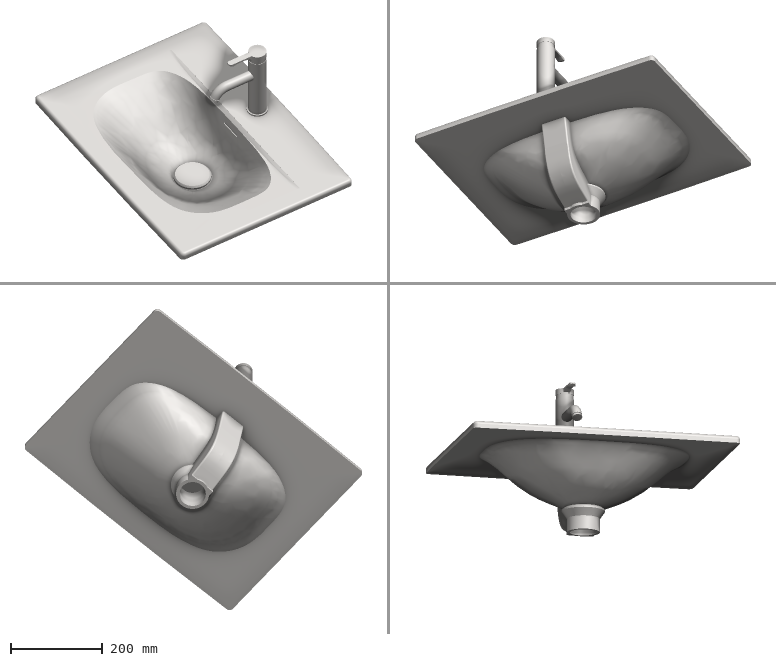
import cadquery as cq
import math


DECK_LENGTH = 600.0
DECK_DEPTH = 449.0
DECK_THICKNESS = 17.0
DECK_BOW = 2.5
DECK_CORNER_RADIUS = 9.5
DECK_EDGE_RADIUS = 8.0

DISH_HALF_LENGTH = 260.0
DISH_REAR_Y = 108.5
DISH_CREASE_Y = 100.0
DISH_LEVEL_Y = -24.0
DISH_FRONT_Y = -184.0
DISH_SAG = 7.0
DISH_EDGE_SAG = 0.3

DRAIN_Y = -3.0
PIPE_RADIUS = 36.0
PIPE_BOTTOM_Z = -183.5
BORE_RADIUS = 29.0
FLOOR_RADIUS = 44.0
FLOOR_Z = -116.5
NECK_RADIUS = 42.0
SHELL_END_RADIUS = 44.0
NECK_Z = -129.5
COLLAR_RADIUS = 47.5
COLLAR_TOP_Z = -134.0
COLLAR_LOW_Z = -137.5
COLLAR_FOOT_RADIUS = 38.5
COLLAR_FOOT_Z = -150.0
PIPE_TOP_Z = -153.5

OVAL_POINTS = 16
CAVITY_SECTIONS = [
    (6.0, 288.0, 103.0, -201.0, 3.6),
    (-2.0, 228.0, 101.5, -169.0, 3.4),
    (-21.5, 198.5, 97.0, -153.0, 3.0),
    (-44.0, 165.5, 92.5, -133.0, 2.7),
    (-75.0, 125.5, 82.0, -107.0, 2.4),
    (-95.0, 96.0, 69.5, -81.0, 2.2),
    (FLOOR_Z, FLOOR_RADIUS, DRAIN_Y + FLOOR_RADIUS, DRAIN_Y - FLOOR_RADIUS, 2.0),
]
SHELL_SECTIONS = [
    (-DECK_THICKNESS, 228.0, 110.0, -167.5, 3.0),
    (-29.5, 203.0, 108.5, -155.0, 2.9),
    (-68.0, 157.0, 101.5, -127.0, 2.6),
    (-91.0, 126.0, 89.0, -107.0, 2.4),
    (-117.5, 75.0, 54.0, -69.0, 2.2),
    (NECK_Z, SHELL_END_RADIUS, DRAIN_Y + SHELL_END_RADIUS, DRAIN_Y - SHELL_END_RADIUS, 2.0),
]

CHANNEL_WIDTH = 60.0
CHANNEL_EDGE_RADIUS = 3.5
CHANNEL_TOP_Y = 133.0
CHANNEL_BEND_START = (121.0, -75.0)
CHANNEL_BEND_MIDDLE = (92.0, -146.5)
CHANNEL_FOOT = (30.0, -177.5)
CHANNEL_BEND_END = (56.0, -168.0)
CHANNEL_START_DIRECTION = (CHANNEL_BEND_START[0] - CHANNEL_TOP_Y, CHANNEL_BEND_START[1] + DECK_THICKNESS)
CHANNEL_END_DIRECTION = (CHANNEL_FOOT[0] - CHANNEL_BEND_END[0], CHANNEL_FOOT[1] - CHANNEL_BEND_END[1])
CHANNEL_END_Y = 6.0
CHANNEL_WALL_POINTS = [(CHANNEL_END_Y, -123.5), (36.0, -120.0), (54.0, -113.0), (81.0, -95.5)]
SLOT_LENGTH = 53.0
SLOT_HEIGHT = 5.5
SLOT_Z = -25.0
SLOT_BOTTOM_Y = 104.5
SLOT_CUT_DEPTH = 18.0

PLUG_RADIUS = 41.5
PLUG_TOP_RADIUS = 38.0
PLUG_TOP_Z = -108.5

TAP_Y = 165.5
TAP_BASE_RADIUS = 23.5
TAP_BASE_HEIGHT = 3.5
COLUMN_DIAMETER = 40.0
COLUMN_RADIUS = COLUMN_DIAMETER / 2
COLUMN_TOP_Z = 153.5
TAP_NECK_RADIUS = 19.0
CAP_BOTTOM_Z = 163.0
TAP_TOP_Z = 175.0
SPOUT_RADIUS = 11.5
SPOUT_Z = 111.0
SPOUT_BEND_Y = 86.5
SPOUT_BEND_RADIUS = 36.0
SPOUT_BEND_ANGLE = 60.0
LEVER_WIDTH = 14.0
LEVER_END_Y = 90.0
LEVER_THICKNESS = 4.0
LEVER_ROOT_THICKNESS = 9.0
LEVER_ROOT_END_Y = 129.0
LEVER_LIP_START_Y = 109.0
LEVER_LIP_Y = 99.0
LEVER_LIP_THICKNESS = 7.0
LEVER_TIP_THICKNESS = 3.0
LEVER_TIP_RADIUS = 6.5
AERATOR_NECK_RADIUS = 9.5
AERATOR_NECK_HEIGHT = 2.0
AERATOR_DIAMETER = 22.0
AERATOR_RADIUS = AERATOR_DIAMETER / 2
AERATOR_HEIGHT = 6.5


def signed_power(value, exponent):
    return math.copysign(abs(value) ** exponent, value)


def oval_wire(z, half_length, rear_y, front_y, exponent):
    """Closed superellipse around the drain axis with different rear and front depths."""
    points = []
    for i in range(OVAL_POINTS):
        angle = 2 * math.pi * i / OVAL_POINTS - math.pi / 2
        across = signed_power(math.cos(angle), 2 / exponent)
        along = signed_power(math.sin(angle), 2 / exponent)
        depth = rear_y - DRAIN_Y if along > 0 else DRAIN_Y - front_y
        points.append(cq.Vector(half_length * across, DRAIN_Y + depth * along, z))
    return cq.Wire.assembleEdges([cq.Edge.makeSpline(points, periodic=True)])


def oval_loft(sections):
    return cq.Workplane(cq.Solid.makeLoft([oval_wire(*section) for section in sections]))


def cylinder(radius, bottom_z, top_z, y):
    return cq.Workplane("XY", origin=(0, y, bottom_z)).circle(radius).extrude(top_z - bottom_z)


def make_deck():
    half_length = DECK_LENGTH / 2
    half_depth = DECK_DEPTH / 2
    corner_y = half_depth - DECK_BOW
    deck = (
        cq.Workplane("XY", origin=(0, 0, -DECK_THICKNESS))
        .moveTo(-half_length, -corner_y)
        .threePointArc((0, -half_depth), (half_length, -corner_y))
        .lineTo(half_length, corner_y)
        .threePointArc((0, half_depth), (-half_length, corner_y))
        .close()
        .extrude(DECK_THICKNESS)
    )
    return deck.edges("|Z").fillet(DECK_CORNER_RADIUS).faces(">Z").edges().fillet(DECK_EDGE_RADIUS)


def dish_wire(y, sag):
    """Circular segment across the dish: a level chord with an arc below it."""
    left = cq.Vector(-DISH_HALF_LENGTH, y, 0)
    right = cq.Vector(DISH_HALF_LENGTH, y, 0)
    arc = cq.Edge.makeThreePointArc(left, cq.Vector(0, y, -sag), right)
    return cq.Wire.assembleEdges([arc, cq.Edge.makeLine(right, left)])


def make_dish():
    stations = [
        (DISH_REAR_Y, DISH_EDGE_SAG),
        (DISH_CREASE_Y, DISH_SAG),
        (DISH_LEVEL_Y, DISH_SAG),
        (DISH_FRONT_Y, DISH_EDGE_SAG),
    ]
    return cq.Workplane(cq.Solid.makeLoft([dish_wire(y, sag) for y, sag in stations], True))


def make_drain_collar():
    profile = [
        (0, NECK_Z),
        (NECK_RADIUS, NECK_Z),
        (COLLAR_RADIUS, COLLAR_TOP_Z),
        (COLLAR_RADIUS, COLLAR_LOW_Z),
        (COLLAR_FOOT_RADIUS, COLLAR_FOOT_Z),
        (PIPE_RADIUS, PIPE_TOP_Z),
        (PIPE_RADIUS, PIPE_BOTTOM_Z),
        (0, PIPE_BOTTOM_Z),
    ]
    return cq.Workplane("XZ", origin=(0, DRAIN_Y, 0)).polyline(profile).close().revolve()


def make_overflow_channel():
    channel = (
        cq.Workplane("YZ")
        .moveTo(CHANNEL_TOP_Y, -DECK_THICKNESS)
        .lineTo(*CHANNEL_BEND_START)
        .spline(
            [CHANNEL_BEND_MIDDLE, CHANNEL_BEND_END],
            tangents=[CHANNEL_START_DIRECTION, CHANNEL_END_DIRECTION],
            includeCurrent=True,
        )
        .lineTo(*CHANNEL_FOOT)
        .lineTo(CHANNEL_FOOT[0], PIPE_BOTTOM_Z)
        .lineTo(CHANNEL_END_Y, PIPE_BOTTOM_Z)
        .polyline(CHANNEL_WALL_POINTS, includeCurrent=True)
        .lineTo(DISH_CREASE_Y, -DECK_THICKNESS)
        .close()
        .extrude(CHANNEL_WIDTH / 2, both=True)
    )
    bend_y, bend_z = CHANNEL_BEND_START
    line_zone = cq.selectors.BoxSelector(
        (-CHANNEL_WIDTH, bend_y, bend_z),
        (CHANNEL_WIDTH, CHANNEL_TOP_Y, -DECK_THICKNESS),
    )
    bend_zone = cq.selectors.BoxSelector(
        (-CHANNEL_WIDTH, CHANNEL_BEND_END[0], PIPE_BOTTOM_Z),
        (CHANNEL_WIDTH, bend_y, FLOOR_Z),
    )
    rear_edges = channel.faces("<X or >X").edges(line_zone + bend_zone)
    return rear_edges.fillet(CHANNEL_EDGE_RADIUS)


def make_overflow_slot():
    slot = cq.Workplane("XZ", origin=(0, SLOT_BOTTOM_Y, SLOT_Z))
    return slot.slot2D(SLOT_LENGTH, SLOT_HEIGHT).extrude(SLOT_CUT_DEPTH)


def make_basin():
    basin = make_deck().union(oval_loft(SHELL_SECTIONS)).union(make_drain_collar())
    basin = basin.cut(make_dish()).cut(oval_loft(CAVITY_SECTIONS))
    basin = basin.cut(make_overflow_slot()).union(make_overflow_channel())
    return basin.cut(cylinder(BORE_RADIUS, PIPE_BOTTOM_Z, FLOOR_Z, DRAIN_Y))


def make_plug():
    plug = cylinder(PLUG_RADIUS, FLOOR_Z, PLUG_TOP_Z, DRAIN_Y)
    return plug.faces(">Z").chamfer(PLUG_RADIUS - PLUG_TOP_RADIUS)


def spout_end():
    """Y, Z of the spout mouth."""
    angle = math.radians(SPOUT_BEND_ANGLE)
    y = SPOUT_BEND_Y - SPOUT_BEND_RADIUS * math.sin(angle)
    z = SPOUT_Z - SPOUT_BEND_RADIUS * (1 - math.cos(angle))
    return y, z


def make_spout():
    half_angle = math.radians(SPOUT_BEND_ANGLE / 2)
    middle_y = SPOUT_BEND_Y - SPOUT_BEND_RADIUS * math.sin(half_angle)
    middle_z = SPOUT_Z - SPOUT_BEND_RADIUS * (1 - math.cos(half_angle))
    path = (
        cq.Workplane("YZ")
        .moveTo(TAP_Y, SPOUT_Z)
        .lineTo(SPOUT_BEND_Y, SPOUT_Z)
        .threePointArc((middle_y, middle_z), spout_end())
    )
    return cq.Workplane("XZ", origin=(0, TAP_Y, SPOUT_Z)).circle(SPOUT_RADIUS).sweep(path)


def make_tap_body():
    body = cylinder(TAP_BASE_RADIUS, 0, TAP_BASE_HEIGHT, TAP_Y)
    body = body.union(cylinder(COLUMN_RADIUS, 0, COLUMN_TOP_Z, TAP_Y))
    body = body.union(cylinder(TAP_NECK_RADIUS, 0, CAP_BOTTOM_Z, TAP_Y))
    return body.union(make_spout())


def make_handle():
    cap = cylinder(COLUMN_RADIUS, CAP_BOTTOM_Z, TAP_TOP_Z, TAP_Y)
    root_z = TAP_TOP_Z - LEVER_ROOT_THICKNESS
    blade_z = TAP_TOP_Z - LEVER_THICKNESS
    profile = [
        (TAP_Y, TAP_TOP_Z),
        (TAP_Y, root_z),
        (TAP_Y - COLUMN_RADIUS, root_z),
        (LEVER_ROOT_END_Y, blade_z),
        (LEVER_LIP_START_Y, blade_z),
        (LEVER_LIP_Y, TAP_TOP_Z - LEVER_LIP_THICKNESS),
        (LEVER_END_Y, TAP_TOP_Z - LEVER_TIP_THICKNESS),
        (LEVER_END_Y, TAP_TOP_Z),
    ]
    lever = cq.Workplane("YZ").polyline(profile).close().extrude(LEVER_WIDTH / 2, both=True)
    lever = lever.edges("|Z and <Y").fillet(LEVER_TIP_RADIUS)
    return cap.union(lever)


def make_aerator():
    angle = math.radians(SPOUT_BEND_ANGLE)
    mouth_y, mouth_z = spout_end()
    mouth = cq.Plane(
        origin=(0, mouth_y, mouth_z),
        xDir=(1, 0, 0),
        normal=(0, -math.cos(angle), -math.sin(angle)),
    )
    neck = cq.Workplane(mouth).circle(AERATOR_NECK_RADIUS).extrude(AERATOR_HEIGHT)
    rim = cq.Workplane(mouth).workplane(offset=AERATOR_NECK_HEIGHT).circle(AERATOR_RADIUS)
    return neck.union(rim.extrude(AERATOR_HEIGHT - AERATOR_NECK_HEIGHT))


basin = make_basin()
plug = make_plug()
tap_body = make_tap_body()
handle = make_handle()
aerator = make_aerator()

bodies = [basin, plug, tap_body, handle, aerator]
result = cq.Compound.makeCompound([body.solids().val() for body in bodies])